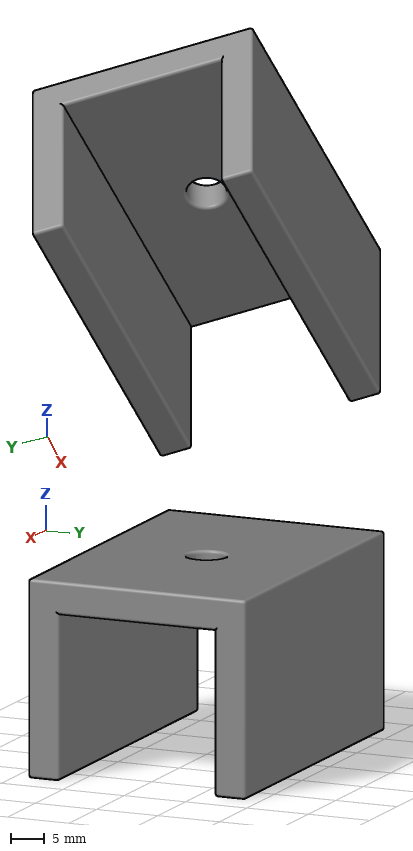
import cadquery as cq

length = 50.8
width = 35.4
height = 30.4

wall = 5.05
channel_width = width - 2 * wall
channel_height = height - wall

hole_diameter = 6.0

edge_radius = 0.5


def channel_block():
    """U-profile resting on Z = 0, centred on the Z axis."""
    block = cq.Workplane("XY").box(length, width, height, centered=(True, True, False))
    channel = cq.Workplane("XY").box(length, channel_width, channel_height, centered=(True, True, False))
    return block.cut(channel)


def web_hole():
    """Cylinder that drills the web from top to channel."""
    return cq.Workplane("XY").circle(hole_diameter / 2).extrude(height)


def inside_corner_selector(side):
    """Select the edge where the web meets one leg, by a small box around its midpoint."""
    y = side * channel_width / 2
    return cq.selectors.BoxSelector(
        (-edge_radius, y - edge_radius, channel_height - edge_radius),
        (edge_radius, y + edge_radius, channel_height + edge_radius),
    )


def round_outside_edges(body):
    """Fillet all edges except the two inside corners where the web meets the legs."""
    inside_corners = inside_corner_selector(-1) + inside_corner_selector(1)
    return body.edges(cq.selectors.InverseSelector(inside_corners)).fillet(edge_radius)


result = round_outside_edges(channel_block().cut(web_hole()))